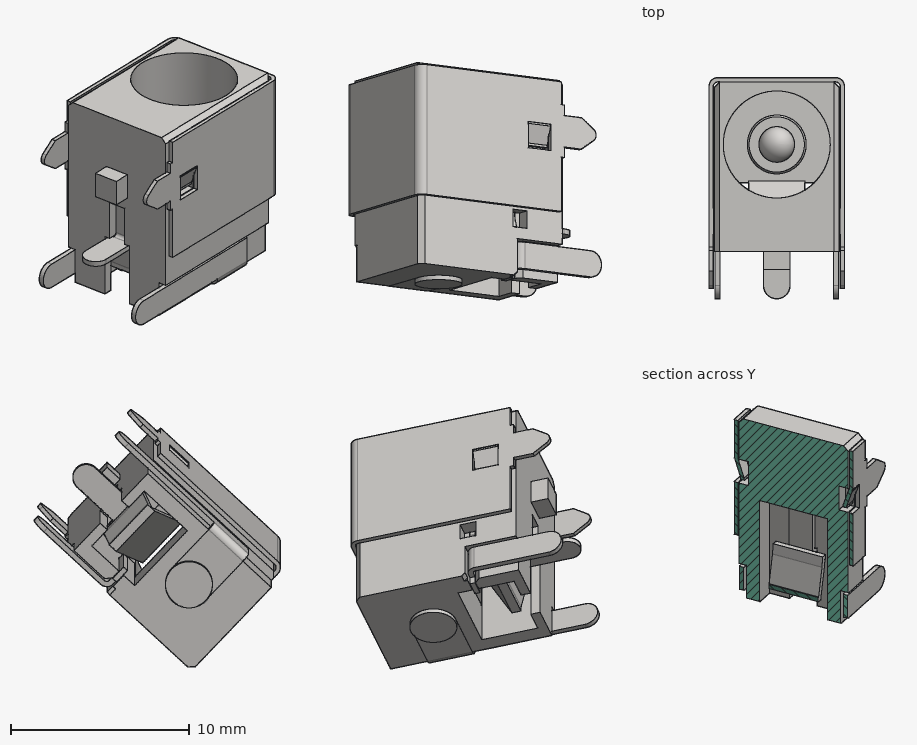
import cadquery as cq
import math


HOUSING_WIDTH = 7.0
HOUSING_HEIGHT = 11.5
HOUSING_BACK = 3.5
HOUSING_FRONT = -6.0
EDGE_CHAMFER = 0.3
BORE_RADIUS = 3.0
BORE_FLOOR = 2.5
BOSS_RADIUS = 1.65
BOSS_HEIGHT = 1.0
BOSS_CHAMFER = 0.1
PEG_SIZE = 1.5
PEG_LENGTH = 1.0
PEG_CENTER_Z = 7.5

SHEET = 0.3
TAIL_WIDTH = 1.5
TAIL_TIP_Y = -8.65
BLADE_CENTER_X = 3.32
BLADE_CENTER_Z = 1.2

NOTCH_DEPTH = 0.48
NOTCH_HEIGHT = 2.1
NOTCH_FOOT_CHAMFER = 0.2

SWITCH_PLATE_BACK = -3.03
SWITCH_BEND_RADIUS = 0.5
SWITCH_PLATE_OUTER_X = -2.7
SWITCH_PLATE_INNER_X = -1.8
SWITCH_PLATE_HEIGHT = 3.95
SWITCH_SLOT_CLEARANCE = 0.03
BARB_REACH = 0.2
BARB_BASE_Z = 2.77
BARB_PEAK_Z = 2.9
BARB_TOP_Z = 3.55
WINDOW_WIDTH = 0.93
WINDOW_BOTTOM = 2.75
WINDOW_HEIGHT = 1.0

SPRING_TAIL_TOP = 3.65
SPRING_WIDTH = 3.16
LEAF_BENDS = [
    (-4.95, 3.5),
    (-4.89, 3.0),
    (-4.5, 1.3),
    (-4.5, 1.15),
    (-4.2, 1.15),
    (-2.24, 4.8),
    (-3.4, 6.2),
]
STEM_SLOT_WIDTH = 1.06
STEM_FRONT = -5.45
STEM_SLOT_TOP = 6.0
STEM_FILLET = 0.2
TAIL_SLOT_WIDTH = 1.76
TAIL_SLOT_HEIGHT = 3.7
CAVITY_WIDTH = 4.3
CAVITY_BACK = -2.15
CAVITY_FRONT = STEM_FRONT
CAVITY_HEIGHT = 6.5

PIN_RADIUS = 1.0
PIN_TIP_Z = 9.4
RIVET_RADIUS = 1.32
RIVET_HEIGHT = 0.25
FOLD_RADIUS = 0.45

SHELL_THICKNESS = 0.25
SHELL_WIDTH = 7.6
SHELL_BACK = HOUSING_BACK + SHELL_THICKNESS
SHELL_BEND_RADIUS = 0.5
SHELL_BOTTOM = 3.9
SHELL_TOP = 11.3
SHELL_SIDE_END = -5.75
SHELL_STEP_END = -5.95
SHELL_STEP_HEIGHT = 3.0
SHELL_TAB_WIDTH = 1.8
SHELL_TAB_CENTER_Z = 8.5
SHELL_TAB_SHOULDER_Y = -7.1
SHELL_TAB_APEX_Y = -8.36
SHELL_TAB_TIP_RADIUS = 0.4
LATCH_WIDTH = 1.5
LATCH_WINDOW_HEIGHT = 1.5
LATCH_BACK = -3.55
LATCH_BOTTOM = 7.3
LATCH_LENGTH = 1.27
LATCH_INSET = 0.05
LATCH_HINGE_LENGTH = 0.08
LATCH_END_LENGTH = 0.15
LATCH_REACH = 0.4
LATCH_POCKET_DEPTH = 0.6


def block(x0, x1, y0, y1, z0, z1):
    """Box between two opposite corners."""
    return cq.Workplane("XY").box(x1 - x0, y1 - y0, z1 - z0, centered=False).translate((x0, y0, z0))


def rod(radius, z0, z1):
    """Vertical cylinder on the barrel axis."""
    return cq.Workplane("XY").workplane(offset=z0).circle(radius).extrude(z1 - z0)


def extrude_across(profile, x0, x1):
    """Extrude a YZ polygon from x0 to x1."""
    return cq.Workplane("YZ").workplane(offset=x0).polyline(profile).close().extrude(x1 - x0)


def strip_outline(path, thickness):
    """Closed outline of a bent strip with mitred corners, centred on an open path."""
    sides = ([], [])
    for i, (u, v) in enumerate(path):
        before = path[max(i - 1, 0)]
        after = path[min(i + 1, len(path) - 1)]
        angles = []
        for (u0, v0), (u1, v1) in ((before, (u, v)), ((u, v), after)):
            if (u0, v0) != (u1, v1):
                angles.append(math.atan2(v1 - v0, u1 - u0))
        turn = math.remainder(angles[-1] - angles[0], 2 * math.pi)
        normal = angles[0] + turn / 2 + math.pi / 2
        reach = thickness / 2 / math.cos(turn / 2)
        for side, sign in zip(sides, (1, -1)):
            side.append((u + sign * reach * math.cos(normal), v + sign * reach * math.sin(normal)))
    return sides[0] + sides[1][::-1]


def rounded_blade(center_x, y_root):
    """Vertical blade running from y_root to a round tip at the tail end."""
    radius = TAIL_WIDTH / 2
    bottom = BLADE_CENTER_Z - radius
    top = BLADE_CENTER_Z + radius
    outline = (
        cq.Workplane("YZ").workplane(offset=center_x - SHEET / 2)
        .moveTo(y_root, bottom).lineTo(TAIL_TIP_Y + radius, bottom)
        .threePointArc((TAIL_TIP_Y, BLADE_CENTER_Z), (TAIL_TIP_Y + radius, top))
        .lineTo(y_root, top).close()
    )
    return outline.extrude(SHEET)


def switch_plate(growth=0.0):
    """Upright plate of the switch contact; growth thickens it into its slot."""
    return block(SWITCH_PLATE_OUTER_X, SWITCH_PLATE_INNER_X,
                 SWITCH_PLATE_BACK - SHEET - growth, SWITCH_PLATE_BACK + growth,
                 0, SWITCH_PLATE_HEIGHT + growth)


def pin_plate():
    """Flat eye of the pin contact, under the housing, from the rivet out to the fold."""
    fold_start = BLADE_CENTER_X + SHEET / 2 - FOLD_RADIUS
    strip = block(0, fold_start, -RIVET_RADIUS, RIVET_RADIUS, 0, SHEET)
    return rod(RIVET_RADIUS, 0, SHEET).union(strip)


def make_housing():
    half = HOUSING_WIDTH / 2
    body = block(-half, half, HOUSING_FRONT, HOUSING_BACK, 0, HOUSING_HEIGHT)
    body = body.edges("|Z and >Y").chamfer(EDGE_CHAMFER)
    body = body.faces(">Z").edges("|Y").chamfer(EDGE_CHAMFER)

    body = body.cut(rod(BORE_RADIUS, BORE_FLOOR, HOUSING_HEIGHT))
    boss = rod(BOSS_RADIUS, BORE_FLOOR, BORE_FLOOR + BOSS_HEIGHT)
    body = body.union(boss.faces(">Z").edges().chamfer(BOSS_CHAMFER))
    body = body.cut(rod(PIN_RADIUS, 0, HOUSING_HEIGHT))

    peg = block(-PEG_SIZE / 2, PEG_SIZE / 2, HOUSING_FRONT - PEG_LENGTH, HOUSING_FRONT,
                PEG_CENTER_Z - PEG_SIZE / 2, PEG_CENTER_Z + PEG_SIZE / 2)
    body = body.union(peg)

    body = body.cut(block(-CAVITY_WIDTH / 2, CAVITY_WIDTH / 2, CAVITY_FRONT, CAVITY_BACK, 0, CAVITY_HEIGHT))
    body = body.cut(block(-STEM_SLOT_WIDTH / 2, STEM_SLOT_WIDTH / 2, HOUSING_FRONT, CAVITY_FRONT,
                          0, STEM_SLOT_TOP))
    body = body.cut(block(-TAIL_SLOT_WIDTH / 2, TAIL_SLOT_WIDTH / 2, HOUSING_FRONT, CAVITY_FRONT,
                          0, TAIL_SLOT_HEIGHT))

    body = body.cut(block(half - NOTCH_DEPTH, half, HOUSING_FRONT, HOUSING_BACK, 0, NOTCH_HEIGHT))
    body = body.cut(pin_plate())

    notch_floor = -half + NOTCH_DEPTH
    relief = SWITCH_PLATE_OUTER_X - notch_floor
    slot_back = SWITCH_PLATE_BACK + SWITCH_SLOT_CLEARANCE
    slot_front = SWITCH_PLATE_BACK - SHEET - SWITCH_SLOT_CLEARANCE
    notch = (
        cq.Workplane("XY")
        .polyline([(-half, slot_back), (SWITCH_PLATE_OUTER_X, slot_back),
                   (SWITCH_PLATE_OUTER_X, slot_front), (notch_floor, slot_front - relief),
                   (notch_floor, HOUSING_FRONT), (-half, HOUSING_FRONT)])
        .close().extrude(NOTCH_HEIGHT)
    )
    foot = extrude_across([(slot_back, 0), (slot_back + NOTCH_FOOT_CHAMFER, 0),
                           (slot_back, NOTCH_FOOT_CHAMFER)],
                          -half, notch_floor)
    body = body.cut(notch).cut(foot).cut(switch_plate(SWITCH_SLOT_CLEARANCE))

    window_center = SWITCH_PLATE_BACK - SHEET / 2
    body = body.cut(block(-half, SWITCH_PLATE_OUTER_X,
                          window_center - WINDOW_WIDTH / 2, window_center + WINDOW_WIDTH / 2,
                          WINDOW_BOTTOM, WINDOW_BOTTOM + WINDOW_HEIGHT))

    pocket = block(-half, -half + LATCH_POCKET_DEPTH, LATCH_BACK - LATCH_WIDTH, LATCH_BACK,
                   LATCH_BOTTOM, LATCH_BOTTOM + LATCH_WINDOW_HEIGHT)
    return body.cut(pocket).cut(pocket.mirror("YZ"))


def shell_side_features():
    """Step, mounting tab, latch window and latch of the -X wall of the shell."""
    outer = -SHELL_WIDTH / 2
    inner = outer + SHELL_THICKNESS
    step = block(outer, inner, SHELL_STEP_END, SHELL_SIDE_END,
                 SHELL_TAB_CENTER_Z - SHELL_STEP_HEIGHT / 2, SHELL_TAB_CENTER_Z + SHELL_STEP_HEIGHT / 2)
    tab_bottom = SHELL_TAB_CENTER_Z - SHELL_TAB_WIDTH / 2
    tab_top = SHELL_TAB_CENTER_Z + SHELL_TAB_WIDTH / 2
    tab = extrude_across([(SHELL_STEP_END, tab_bottom), (SHELL_TAB_SHOULDER_Y, tab_bottom),
                          (SHELL_TAB_APEX_Y, SHELL_TAB_CENTER_Z),
                          (SHELL_TAB_SHOULDER_Y, tab_top), (SHELL_STEP_END, tab_top)], outer, inner)
    tab = tab.edges("|X and <Y").fillet(SHELL_TAB_TIP_RADIUS)

    window_top = LATCH_BOTTOM + LATCH_WINDOW_HEIGHT
    window = block(outer, inner, LATCH_BACK - LATCH_WIDTH, LATCH_BACK, LATCH_BOTTOM, window_top)
    middle = (outer + inner) / 2
    hinge_x = middle + LATCH_INSET
    end_x = middle + LATCH_REACH
    latch_end = window_top - LATCH_LENGTH
    latch_path = [(hinge_x, window_top), (hinge_x, window_top - LATCH_HINGE_LENGTH),
                  (end_x, latch_end + LATCH_END_LENGTH), (end_x, latch_end)]
    latch = (
        cq.Workplane("XZ", origin=(0, LATCH_BACK, 0))
        .polyline(strip_outline(latch_path, SHELL_THICKNESS)).close().extrude(LATCH_WIDTH)
    )
    return step.union(tab), window, latch


def make_shell():
    half = SHELL_WIDTH / 2
    outside = block(-half, half, SHELL_SIDE_END, SHELL_BACK, SHELL_BOTTOM, SHELL_TOP)
    outside = outside.edges("|Z and >Y").fillet(SHELL_BEND_RADIUS)
    inside = block(-half + SHELL_THICKNESS, half - SHELL_THICKNESS, SHELL_SIDE_END, HOUSING_BACK,
                   SHELL_BOTTOM, SHELL_TOP)
    inside = inside.edges("|Z and >Y").fillet(SHELL_BEND_RADIUS - SHELL_THICKNESS)
    shell = outside.cut(inside)
    tab, window, latch = shell_side_features()
    shell = shell.union(tab).cut(window).union(latch)
    return shell.union(tab.mirror("YZ")).cut(window.mirror("YZ")).union(latch.mirror("YZ"))


def make_pin():
    shaft = rod(PIN_RADIUS, 0, PIN_TIP_Z - PIN_RADIUS)
    tip = cq.Workplane("XY").sphere(PIN_RADIUS).translate((0, 0, PIN_TIP_Z - PIN_RADIUS))
    return shaft.union(tip).union(rod(RIVET_RADIUS, -RIVET_HEIGHT, 0))


def make_switch_contact():
    outer_x = -BLADE_CENTER_X - SHEET / 2
    bend_x = outer_x + SWITCH_BEND_RADIUS
    bend_y = SWITCH_PLATE_BACK - SWITCH_BEND_RADIUS
    blade_bottom = BLADE_CENTER_Z - TAIL_WIDTH / 2
    blade_top = BLADE_CENTER_Z + TAIL_WIDTH / 2
    corner = block(outer_x, bend_x, bend_y, SWITCH_PLATE_BACK, blade_bottom, blade_top)
    ring = (
        cq.Workplane("XY", origin=(bend_x, bend_y, blade_bottom))
        .circle(SWITCH_BEND_RADIUS).circle(SWITCH_BEND_RADIUS - SHEET).extrude(TAIL_WIDTH)
    )
    link = block(bend_x, SWITCH_PLATE_OUTER_X, SWITCH_PLATE_BACK - SHEET, SWITCH_PLATE_BACK,
                 blade_bottom, blade_top)
    barb = (
        cq.Workplane("XZ", origin=(0, SWITCH_PLATE_BACK, 0))
        .polyline([(SWITCH_PLATE_OUTER_X, BARB_BASE_Z), (SWITCH_PLATE_OUTER_X - BARB_REACH, BARB_PEAK_Z),
                   (SWITCH_PLATE_OUTER_X, BARB_TOP_Z)])
        .close().extrude(SHEET)
    )
    blade = rounded_blade(-BLADE_CENTER_X, bend_y)
    return blade.union(corner.intersect(ring)).union(link).union(switch_plate()).union(barb)


def make_pin_contact():
    outer_x = BLADE_CENTER_X + SHEET / 2
    fold_x = outer_x - FOLD_RADIUS
    corner = block(fold_x, outer_x, -RIVET_RADIUS, RIVET_RADIUS, 0, FOLD_RADIUS)
    ring = (
        cq.Workplane("XZ", origin=(fold_x, RIVET_RADIUS, FOLD_RADIUS))
        .circle(FOLD_RADIUS).circle(FOLD_RADIUS - SHEET).extrude(2 * RIVET_RADIUS)
    )
    blade = rounded_blade(BLADE_CENTER_X, RIVET_RADIUS)
    return blade.union(corner.intersect(ring)).union(pin_plate()).cut(rod(PIN_RADIUS, 0, SHEET))


def make_spring_contact():
    tail_bottom = SPRING_TAIL_TOP - SHEET
    stem_back = STEM_FRONT + SHEET
    tip_center_y = TAIL_TIP_Y + TAIL_WIDTH / 2
    tip = rod(TAIL_WIDTH / 2, tail_bottom, SPRING_TAIL_TOP).translate((0, tip_center_y, 0))
    tail = block(-TAIL_WIDTH / 2, TAIL_WIDTH / 2, tip_center_y, stem_back, tail_bottom, SPRING_TAIL_TOP)
    tail = tail.union(tip)
    stem = block(-TAIL_WIDTH / 2, TAIL_WIDTH / 2, STEM_FRONT, stem_back, tail_bottom, CAVITY_HEIGHT)
    foot_start = STEM_FRONT - STEM_FILLET
    foot_top = SPRING_TAIL_TOP + STEM_FILLET
    foot = block(-STEM_SLOT_WIDTH / 2, STEM_SLOT_WIDTH / 2, foot_start, STEM_FRONT, SPRING_TAIL_TOP, foot_top)
    hollow = (
        cq.Workplane("YZ", origin=(-STEM_SLOT_WIDTH / 2, foot_start, foot_top))
        .circle(STEM_FILLET).extrude(STEM_SLOT_WIDTH)
    )
    foot = foot.cut(hollow)
    leaf_path = [(stem_back, SPRING_TAIL_TOP - SHEET / 2)] + LEAF_BENDS
    leaf = extrude_across(strip_outline(leaf_path, SHEET), -SPRING_WIDTH / 2, SPRING_WIDTH / 2)
    return tail.union(stem).union(foot).union(leaf)


housing = make_housing()
shell = make_shell()
pin = make_pin()
switch_contact = make_switch_contact()
pin_contact = make_pin_contact()
spring_contact = make_spring_contact()

bodies = [housing, shell, pin, switch_contact, pin_contact, spring_contact]
result = cq.Compound.makeCompound([body.solids().val() for body in bodies])